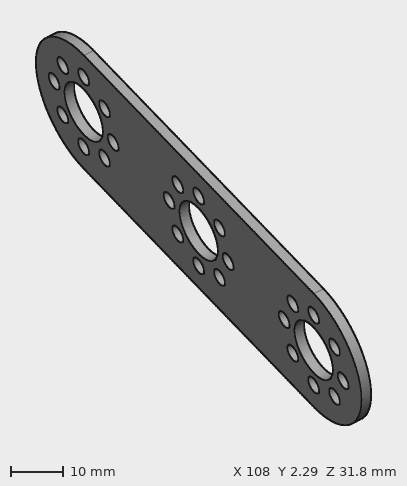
import cadquery as cq

plate_width = 31.75
plate_thickness = 2.286
hub_spacing = 38.1
hub_count = 3
bore_diameter = 12.7
bolt_circle_diameter = 19.558
bolt_hole_diameter = 3.6
bolts_per_hub = 8

hub_span = hub_spacing * (hub_count - 1)
plate_length = hub_span + plate_width
full_turn = 360
hub_centers = [(i * hub_spacing - hub_span / 2, 0) for i in range(hub_count)]


def back_face():
    """Workplane on the +Y face of the plate; extrusions run toward -Y."""
    return cq.Workplane("XZ", origin=(0, plate_thickness / 2, 0))


def make_plate():
    """Round-ended flat bar standing in the XZ plane, centred on the origin."""
    return back_face().slot2D(plate_length, plate_width).extrude(plate_thickness)


def cut_hub_pattern(plate, center):
    """Cut a central bore and its ring of bolt holes through the plate."""
    bore = (
        back_face()
        .center(*center)
        .circle(bore_diameter / 2)
        .extrude(plate_thickness)
    )
    bolt_holes = (
        back_face()
        .center(*center)
        .polarArray(bolt_circle_diameter / 2, 0, full_turn, bolts_per_hub)
        .circle(bolt_hole_diameter / 2)
        .extrude(plate_thickness)
    )
    return plate.cut(bore).cut(bolt_holes)


result = make_plate()
for hub_center in hub_centers:
    result = cut_hub_pattern(result, hub_center)